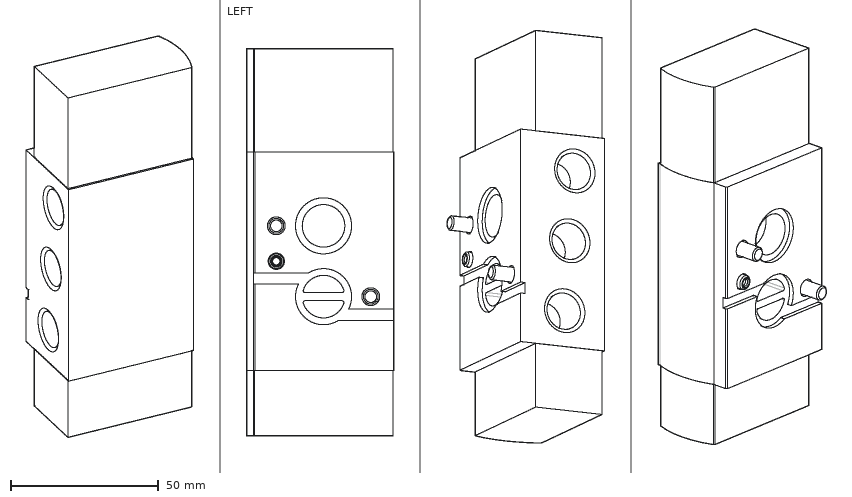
import cadquery as cq

overall_height = 131.0
block_width = 31.6
block_depth = 49.8
block_height = 73.9
upper_cap_height = 35.0
lower_cap_height = overall_height - block_height - upper_cap_height
half_height = block_height / 2

cap_left = 5.8
cap_right = block_width - 0.8
cap_front = 0.2
cap_middle = (cap_left + cap_right) / 2

crown_rise = 2.2
shoulder_y = block_depth - crown_rise
block_chamfer = 0.5
cap_chamfer = 0.4

port_row_width = 3.8
port_row_height = 49.0
port_middle_x = 18.5
port_rim_diameter = 15.2
port_mouth_diameter = 12.6
port_floor_diameter = 11.9
port_countersink_depth = 0.8
port_depth = 15.7

flange_y = shoulder_y / 2
flange_spacing = 24.0
flange_z = flange_spacing / 2
recess_depth = 1.7
seal_diameter = 19.0
flange_bore_diameter = 14.4
flange_bore_depth = 8.8
bar_width = 2.8
bar_corner_radius = 0.7

groove_width = 3.8
groove_offset = 6.2

screw_diameter = 5.0
screw_hole_diameter = 6.0
screw_projection = 7.5
screw_hole_depth = 5.6
pin_diameter = 5.0
pin_hole_diameter = 5.5
pin_projection = 1.7
pin_hole_depth = 5.0
tip_chamfer = 0.5
stud_offset = 16.0
pin_y = flange_y + stud_offset
screw_places = [(flange_y + side * stud_offset, side * flange_z) for side in (1, -1)]

socket_rim_diameter = 3.3
socket_diameter = 2.5
socket_depth = 1.3
socket_countersink = (socket_rim_diameter - socket_diameter) / 2


def x_cylinder(diameter, start_x, length, y, z):
    """Cylinder along +X."""
    return cq.Workplane("YZ", origin=(start_x, y, z)).circle(diameter / 2).extrude(length)


def cone(start_diameter, end_diameter, length, start, direction):
    start_point = cq.Vector(*start)
    axis = cq.Vector(*direction)
    return cq.Workplane(cq.Solid.makeCone(start_diameter / 2, end_diameter / 2, length, start_point, axis))


def make_block():
    """Rectangular block whose back bulges between the two edges of the caps."""
    return (
        cq.Workplane("XY")
        .lineTo(block_width, 0)
        .lineTo(block_width, shoulder_y)
        .lineTo(cap_right, shoulder_y)
        .threePointArc((cap_middle, block_depth), (cap_left, shoulder_y))
        .lineTo(block_chamfer, shoulder_y)
        .lineTo(0, shoulder_y - block_chamfer)
        .close()
        .extrude(half_height, both=True)
    )


def make_cap(base_z, height):
    return (
        cq.Workplane("XY", origin=(0, 0, base_z))
        .moveTo(cap_left, cap_front)
        .lineTo(cap_right, cap_front)
        .lineTo(cap_right, shoulder_y - cap_chamfer)
        .lineTo(cap_right - cap_chamfer, shoulder_y)
        .threePointArc((cap_middle, block_depth), (cap_left + cap_chamfer, shoulder_y))
        .lineTo(cap_left, shoulder_y - cap_chamfer)
        .close()
        .extrude(height)
    )


def tapered_port(x, z):
    """Cutter: countersunk mouth above a bore that narrows slightly to a flat floor."""
    along_y = (0, 1, 0)
    bore_length = port_depth - port_countersink_depth
    rim = cone(port_rim_diameter, port_mouth_diameter, port_countersink_depth, (x, 0, z), along_y)
    bore_start = (x, port_countersink_depth, z)
    bore = cone(port_mouth_diameter, port_floor_diameter, bore_length, bore_start, along_y)
    return rim.union(bore)


def seal_recess(z):
    return x_cylinder(seal_diameter, 0, recess_depth, flange_y, z)


def flange_bore(z):
    """Cutter: bore in the floor of a seal recess."""
    return x_cylinder(flange_bore_diameter, recess_depth, flange_bore_depth, flange_y, z)


def bridge(z):
    """Bar across a flange bore, level with the floor of the seal recess."""
    return (
        cq.Workplane("XY", origin=(recess_depth, flange_y, z))
        .box(flange_bore_depth, seal_diameter, bar_width, centered=(False, True, True))
    )


def vent_groove(side):
    """Cutter: groove from the lower flange port out through one side (+1 back, -1 front)."""
    return (
        cq.Workplane("XY", origin=(0, flange_y + side * block_depth / 2, -flange_z + side * groove_offset))
        .box(recess_depth, block_depth, groove_width, centered=(False, True, True))
    )


def make_housing():
    body = make_block()
    body = body.union(make_cap(half_height, upper_cap_height))
    body = body.union(make_cap(-half_height - lower_cap_height, lower_cap_height))

    for step in (-0.5, 0, 0.5):
        body = body.cut(tapered_port(port_middle_x + step * port_row_width, step * port_row_height))

    for z in (flange_z, -flange_z):
        body = body.cut(seal_recess(z))
    body = body.cut(flange_bore(flange_z))
    split_bore = flange_bore(-flange_z).cut(bridge(-flange_z))
    body = body.cut(split_bore.edges("|X").fillet(bar_corner_radius))

    for side in (1, -1):
        body = body.cut(vent_groove(side))

    for y, z in screw_places:
        body = body.cut(x_cylinder(screw_hole_diameter, 0, screw_hole_depth, y, z))
    return body.cut(x_cylinder(pin_hole_diameter, 0, pin_hole_depth, pin_y, 0))


def make_stud(diameter, projection, hole_depth, y, z):
    """Round rod with a chamfered tip, standing on the floor of its hole."""
    rod = x_cylinder(diameter, -projection, projection + hole_depth, y, z)
    return rod.faces("<X").chamfer(tip_chamfer)


def make_screw(y, z):
    return make_stud(screw_diameter, screw_projection, screw_hole_depth, y, z)


def make_pin():
    body = make_stud(pin_diameter, pin_projection, pin_hole_depth, pin_y, 0)
    socket = x_cylinder(socket_diameter, -pin_projection, socket_depth, pin_y, 0)
    tip = (-pin_projection, pin_y, 0)
    countersink = cone(socket_rim_diameter, socket_diameter, socket_countersink, tip, (1, 0, 0))
    return body.cut(socket).cut(countersink)


housing = make_housing()
screws = [make_screw(y, z) for y, z in screw_places]
pin = make_pin()

result = cq.Compound.makeCompound([housing.val(), *[screw.val() for screw in screws], pin.val()])